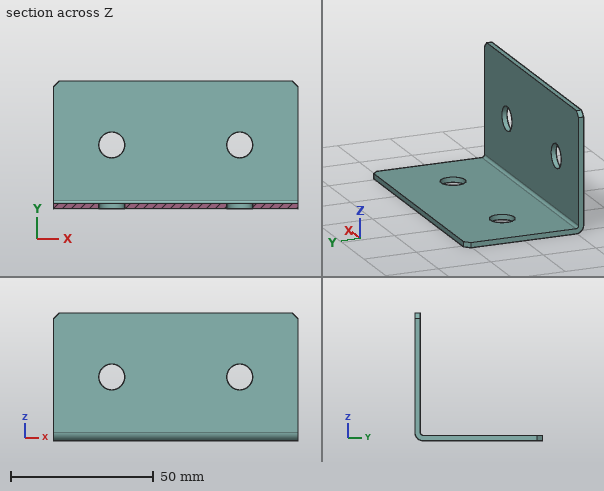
import cadquery as cq

length = 86.0
leg = 45.0
thickness = 2.0
inner_bend_radius = 1.0
outer_bend_radius = inner_bend_radius + thickness
corner_chamfer = 2.0
hole_diameter = 9.0
hole_spacing = 45.0
hole_offset = leg / 2


def angle_sheet():
    """L-shaped section in the YZ plane, extruded along X and rounded at the bend."""
    section = (
        cq.Workplane("YZ")
        .polyline([
            (0, 0),
            (leg, 0),
            (leg, thickness),
            (thickness, thickness),
            (thickness, leg),
            (0, leg),
        ])
        .close()
    )
    sheet = section.extrude(length / 2, both=True)
    inner_corner = cq.selectors.NearestToPointSelector((0, thickness, thickness))
    outer_corner = cq.selectors.NearestToPointSelector((0, 0, 0))
    sheet = sheet.edges("|X").edges(inner_corner).fillet(inner_bend_radius)
    return sheet.edges("|X").edges(outer_corner).fillet(outer_bend_radius)


def chamfer_free_corners(sheet):
    """Cut the two free corners of each leg."""
    sheet = sheet.faces(">Z").edges("|Y").chamfer(corner_chamfer)
    return sheet.faces(">Y").edges("|Z").chamfer(corner_chamfer)


def leg_holes():
    """Cylinders for the pair of through holes in each leg."""
    holes = cq.Workplane("XY")
    for x in (-hole_spacing / 2, hole_spacing / 2):
        for centre, direction in (
            ((x, hole_offset, 0), (0, 0, 1)),
            ((x, 0, hole_offset), (0, 1, 0)),
        ):
            holes = holes.add(
                cq.Solid.makeCylinder(
                    hole_diameter / 2, thickness, cq.Vector(*centre), cq.Vector(*direction)
                )
            )
    return holes


result = chamfer_free_corners(angle_sheet())
for hole in leg_holes().vals():
    result = result.cut(cq.Workplane(hole))